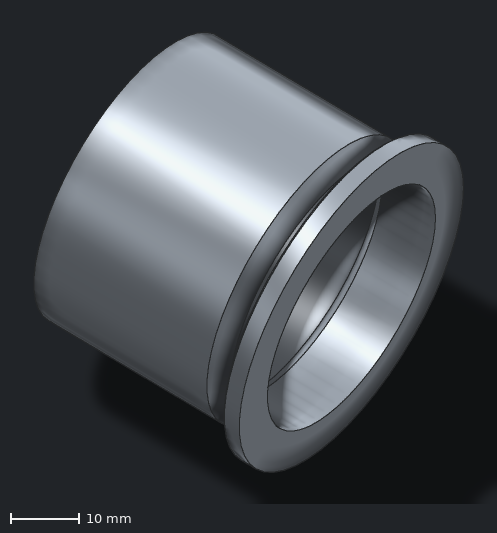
import cadquery as cq

total_length = 40.0
tube_diameter = 48.6
tube_bore_diameter = 44.5
neck_diameter = 44.5
neck_bore_diameter = 41.2
flange_diameter = 55.0
flange_edge_break = 0.4

tube_length = 31.7
tube_bore_depth = 28.5
shoulder_length = 2.7
neck_length = 1.2
flange_cone_length = 1.3
flange_edge_length = 0.35

shoulder_end = tube_length + shoulder_length
neck_end = shoulder_end + neck_length
flange_cone_end = neck_end + flange_cone_length
rim_start = flange_cone_end + flange_edge_length

tube_radius = tube_diameter / 2
tube_bore_radius = tube_bore_diameter / 2
neck_radius = neck_diameter / 2
neck_bore_radius = neck_bore_diameter / 2
bore_taper_end = tube_bore_depth + tube_bore_radius - neck_bore_radius
flange_radius = flange_diameter / 2

half_section = (
    cq.Workplane("XY")
    .moveTo(0, tube_bore_radius)
    .lineTo(tube_bore_depth, tube_bore_radius)
    .lineTo(bore_taper_end, neck_bore_radius)
    .lineTo(total_length, neck_bore_radius)
    .lineTo(total_length, flange_radius)
    .lineTo(rim_start, flange_radius)
    .lineTo(flange_cone_end, flange_radius - flange_edge_break)
    .lineTo(neck_end, neck_radius)
    .lineTo(shoulder_end, neck_radius)
    .lineTo(tube_length, tube_radius)
    .lineTo(0, tube_radius)
    .close()
)

result = half_section.revolve(360, (0, 0, 0), (1, 0, 0))